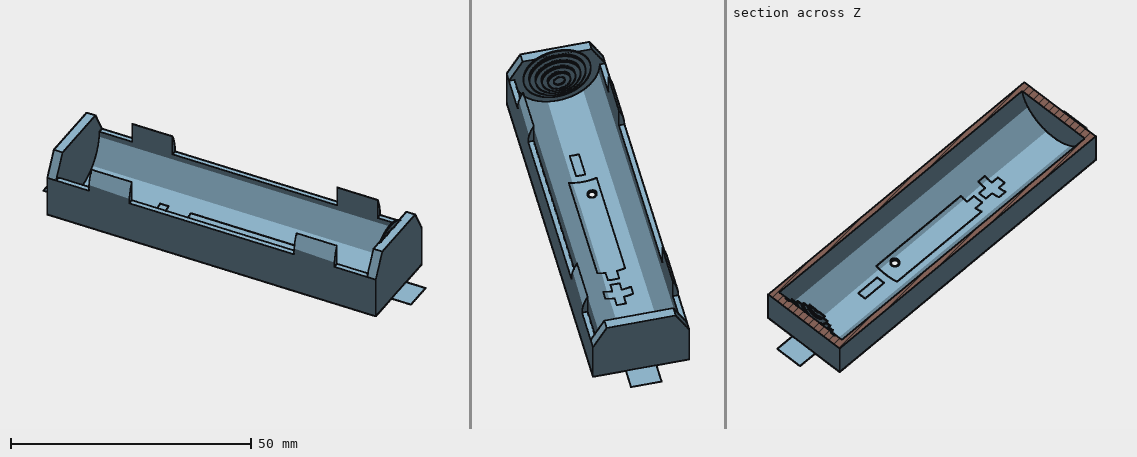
import cadquery as cq

pin_diameter = 0.02
pin_length = 0.2
length = 86.4
body_length = 77.25
width = 20.65
rim_height = 9.5
wall_height = 14.9
wall_thickness = 2.1
wall_chamfer = 2.9
rim_width = 1.2
hole_diameter = 1.55
counterbore_diameter = 2.0
counterbore_floor = 0.2
hole_x = 10.0
hole_y = -1.1
half_width = width / 2
cavity_radius = half_width - rim_width
cavity_length = body_length - 2 * wall_thickness

tab_width = 6.6
tab_thickness = 0.1

clip_length = 9.5
clip_x = 24.1
clip_height = 4.7

mark_depth = 0.1
mark_width = 6.0
bar_length = 5.7
bar_width = 2.0
plus_x = -18.1
minus_x = 18.3
cell_left = -11.8
cell_right = 13.65
nub_length = 2.1
nub_width = 2.4

ring_count = 5
contact_diameter = 14.4
ring_step = contact_diameter / 2 / (ring_count + 1)
ring_thickness = 0.3
ring_pitch = 0.5
ring_inset = 0.22
total_height = 16.3

bottom_z = pin_length
rim_z = bottom_z + rim_height
ring_axis_z = total_height - contact_diameter / 2


def box_on(x_size, y_size, z_size, x, z):
    """Box centred on Y = 0, with its middle at x and its underside at z."""
    return cq.Workplane("XY").box(x_size, y_size, z_size, centered=(True, True, False)).translate((x, 0, z))


def rim_cylinder(radius, x_size):
    """Cylinder along X whose axis lies in the plane of the rim."""
    return cq.Workplane("YZ", origin=(-x_size / 2, 0, rim_z)).circle(radius).extrude(x_size)


def end_wall(x):
    """Full-height end wall with sloping shoulders, starting at x."""
    shoulder_y = half_width - wall_chamfer
    outline = [
        (-half_width, 0),
        (half_width, 0),
        (half_width, rim_height),
        (shoulder_y, wall_height),
        (-shoulder_y, wall_height),
        (-half_width, rim_height),
    ]
    return cq.Workplane("YZ", origin=(x, 0, bottom_z)).polyline(outline).close().extrude(wall_thickness)


def clip(x, side):
    """Clip on the rim, flat inside and round outside, thinning to an edge; side is 1 for +Y, -1 for -Y."""
    outer_radius = (clip_height**2 + rim_width**2) / (2 * rim_width)
    profile = (
        cq.Workplane("YZ", origin=(x - clip_length / 2, 0, rim_z))
        .moveTo(side * cavity_radius, 0)
        .lineTo(side * half_width, 0)
        .radiusArc((side * cavity_radius, clip_height), -side * outer_radius)
        .close()
    )
    return profile.extrude(clip_length)


def polarity_marks():
    """Plus, cell symbol and minus, as a shallow layer just below the cavity surface."""
    plus = box_on(bar_length, bar_width, rim_height, plus_x, bottom_z)
    plus = plus.union(box_on(bar_width, mark_width, rim_height, plus_x, bottom_z))
    minus = box_on(bar_length, bar_width, rim_height, minus_x, bottom_z)
    cell_length = cell_right - cell_left
    cell = box_on(cell_length, mark_width, rim_height, cell_left + cell_length / 2, bottom_z)
    cell = cell.union(box_on(nub_length, nub_width, rim_height, cell_left - nub_length / 2, bottom_z))
    layer = rim_cylinder(cavity_radius + mark_depth, cavity_length)
    return plus.union(cell).union(minus).intersect(layer)


def round_hole(diameter, floor_height):
    """Cutter for one step of the floor hole, open upwards from floor_height above the underside."""
    base = cq.Workplane("XY", origin=(hole_x, hole_y, bottom_z + floor_height))
    return base.circle(diameter / 2).extrude(rim_height)


def make_housing():
    """Trough with end walls, floor hole, tabs, clips and pin, all one solid."""
    body = box_on(body_length, width, rim_height, 0, bottom_z)
    body = body.union(end_wall(-body_length / 2))
    body = body.union(end_wall(cavity_length / 2))
    body = body.cut(rim_cylinder(cavity_radius, cavity_length))
    body = body.cut(polarity_marks())
    body = body.cut(round_hole(hole_diameter, 0))
    body = body.cut(round_hole(counterbore_diameter, counterbore_floor))
    tab_length = (length - body_length) / 2
    tab_x = (length - tab_length) / 2
    for x_side in (-1, 1):
        body = body.union(box_on(tab_length, tab_width, tab_thickness, x_side * tab_x, bottom_z))
        for y_side in (-1, 1):
            body = body.union(clip(x_side * clip_x, y_side))
    pin = cq.Workplane("XY").circle(pin_diameter / 2).extrude(pin_length)
    return body.union(pin)


def contact_ring(index):
    """Flat ring of the stepped contact, counted from the smallest one at the free end."""
    inner_radius = (index + 1) * ring_step
    outer_radius = inner_radius + ring_step
    x = cavity_length / 2 + ring_inset - ring_thickness - (ring_count - 1 - index) * ring_pitch
    section = cq.Workplane("YZ", origin=(x, 0, ring_axis_z)).circle(outer_radius).circle(inner_radius)
    return section.extrude(ring_thickness)


rings = [contact_ring(index) for index in range(ring_count)]

housing = make_housing().cut(rings[-1])

result = cq.Compound.makeCompound([housing.val(), *[ring.val() for ring in rings]])